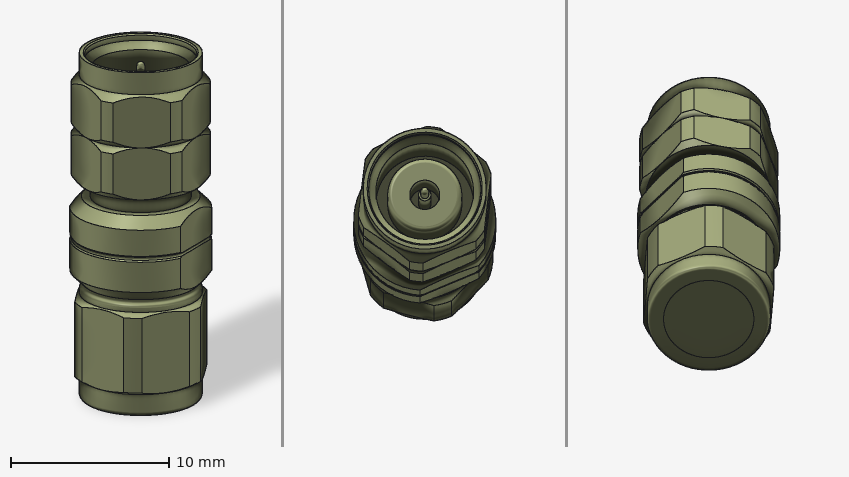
import cadquery as cq
import math


HEIGHT = 23.0
FLAT_DISTANCE = 4.0
HEX_SIDES = 6
SHELL_RADIUS = 3.89

HEX_CORNER_RADIUS = 4.4
HEX_TOP = 21.53
HEX_SEAM = 18.0
HEX_BOTTOM = 14.54
HEX_CHAMFER_ANGLE = 45.0
HEX_CORNER_DIRECTION = 90.0
UPPER_NECK_RADIUS = 3.2

RING_RADIUS = 4.48
RING_SMALL_RADIUS = 3.75
RING_EDGE_CHAMFER = 0.1
UPPER_RING_TOP = 13.4
UPPER_RING_BOTTOM = 10.83
LOWER_RING_TOP = 10.63
LOWER_RING_BOTTOM = 7.77

SOCKET_MOUTH_RADIUS = 3.55
SOCKET_RADIUS = 3.08
SOCKET_LIP_CHAMFER = 0.1
SOCKET_CONE_TOP = 22.56
SOCKET_FLOOR = HEX_SEAM
BOSS_RADIUS = 2.35
BOSS_FILLET = 0.3
BOSS_TOP = 21.02
BOSS_HOLE_RADIUS = 0.95
COLLAR_RADIUS = 0.4
PIN_RADIUS = 0.25
PIN_TOP = 22.38

STEM_RADIUS = 2.85
NUT_TOP = 7.5
NUT_EDGE_FILLET = 0.25
NUT_HEX_TOP = 6.97
NUT_HEX_BOTTOM = 1.47
NUT_CORNER_RADIUS = 4.32
NUT_CHAMFER_ANGLE = 30.0
NUT_CORNER_DIRECTION = -7.7


def cylinder(radius, bottom, top):
    return cq.Workplane("XY").workplane(offset=bottom).circle(radius).extrude(top - bottom)


def revolve_outline(points):
    """Solid of revolution about Z from (radius, height) points."""
    return cq.Workplane("XZ").polyline(points).close().revolve(360, (0, 0, 0), (0, 1, 0))


def hexagon(corner_radius, bottom, top, end_radii, chamfer_angle, corner_direction):
    """Hexagonal prism with turned corners, chamfered down to (bottom, top) end radii."""
    slope = math.tan(math.radians(chamfer_angle))
    bottom_radius, top_radius = end_radii
    turned = revolve_outline([
        (0, bottom),
        (bottom_radius, bottom),
        (corner_radius, bottom + (corner_radius - bottom_radius) * slope),
        (corner_radius, top - (corner_radius - top_radius) * slope),
        (top_radius, top),
        (0, top),
    ])
    across_corners = 2 * FLAT_DISTANCE / math.cos(math.pi / HEX_SIDES)
    base = cq.Workplane("XY").workplane(offset=bottom)
    prism = base.polygon(HEX_SIDES, across_corners).extrude(top - bottom)
    return turned.intersect(prism.rotate((0, 0, 0), (0, 0, 1), corner_direction))


def flatted_ring(gap_face, cone_face):
    """Ring with flats at +-X, running from its edge at the gap to its coned far face."""
    away = math.copysign(1, cone_face - gap_face)
    turned = revolve_outline([
        (0, gap_face),
        (RING_RADIUS - RING_EDGE_CHAMFER, gap_face),
        (RING_RADIUS, gap_face + away * RING_EDGE_CHAMFER),
        (RING_RADIUS, cone_face - away * (RING_RADIUS - RING_SMALL_RADIUS)),
        (RING_SMALL_RADIUS, cone_face),
        (0, cone_face),
    ])
    slab = cq.Workplane("XY").box(2 * FLAT_DISTANCE, 2 * RING_RADIUS, 2 * HEIGHT)
    return turned.intersect(slab)


def body_hexagon(bottom, top, top_radius):
    """Hexagon of the upper body, chamfered at its bottom end as far as the flats."""
    end_radii = (FLAT_DISTANCE, top_radius)
    return hexagon(HEX_CORNER_RADIUS, bottom, top, end_radii, HEX_CHAMFER_ANGLE, HEX_CORNER_DIRECTION)


def make_socket():
    """Space to be cut from the top end."""
    cone_bottom = SOCKET_CONE_TOP - (SOCKET_MOUTH_RADIUS - SOCKET_RADIUS)
    return revolve_outline([
        (0, SOCKET_FLOOR),
        (SOCKET_RADIUS, SOCKET_FLOOR),
        (SOCKET_RADIUS, cone_bottom),
        (SOCKET_MOUTH_RADIUS, SOCKET_CONE_TOP),
        (SOCKET_MOUTH_RADIUS, HEIGHT - SOCKET_LIP_CHAMFER),
        (SOCKET_MOUTH_RADIUS + SOCKET_LIP_CHAMFER, HEIGHT),
        (0, HEIGHT),
    ])


def make_boss():
    boss = cylinder(BOSS_RADIUS, SOCKET_FLOOR, BOSS_TOP).faces(">Z").edges().fillet(BOSS_FILLET)
    return boss.cut(cylinder(BOSS_HOLE_RADIUS, SOCKET_FLOOR, BOSS_TOP))


def make_contact():
    """Collar level with the boss, carrying a round-ended pin."""
    collar = cylinder(COLLAR_RADIUS, SOCKET_FLOOR, BOSS_TOP)
    shaft = cylinder(PIN_RADIUS, SOCKET_FLOOR, PIN_TOP - PIN_RADIUS)
    tip = cq.Workplane("XY").sphere(PIN_RADIUS).translate((0, 0, PIN_TOP - PIN_RADIUS))
    return collar.union(shaft).union(tip)


def make_upper_body():
    upper_hex = body_hexagon(HEX_SEAM, HEX_TOP, SHELL_RADIUS)
    lower_hex = body_hexagon(HEX_BOTTOM, HEX_SEAM, FLAT_DISTANCE)
    body = flatted_ring(UPPER_RING_BOTTOM, UPPER_RING_TOP)
    body = body.union(cylinder(UPPER_NECK_RADIUS, UPPER_RING_TOP, HEX_BOTTOM))
    body = body.union(lower_hex).union(upper_hex)
    body = body.union(cylinder(SHELL_RADIUS, HEX_TOP, HEIGHT))
    return body.cut(make_socket()).union(make_boss()).union(make_contact())


def make_lower_body():
    """Ring on a stem that reaches up to the upper ring and down through the nut."""
    stem = cylinder(STEM_RADIUS, 0, UPPER_RING_BOTTOM)
    return stem.union(flatted_ring(LOWER_RING_TOP, LOWER_RING_BOTTOM))


def make_coupling_nut():
    shell = cylinder(SHELL_RADIUS, 0, NUT_TOP).faces("<Z or >Z").edges().fillet(NUT_EDGE_FILLET)
    grip = hexagon(
        NUT_CORNER_RADIUS,
        NUT_HEX_BOTTOM,
        NUT_HEX_TOP,
        (SHELL_RADIUS, SHELL_RADIUS),
        NUT_CHAMFER_ANGLE,
        NUT_CORNER_DIRECTION,
    )
    return shell.union(grip).cut(cylinder(STEM_RADIUS, 0, NUT_TOP))


upper_body = make_upper_body()
lower_body = make_lower_body()
coupling_nut = make_coupling_nut()

result = cq.Compound.makeCompound([upper_body.val(), lower_body.val(), coupling_nut.val()])